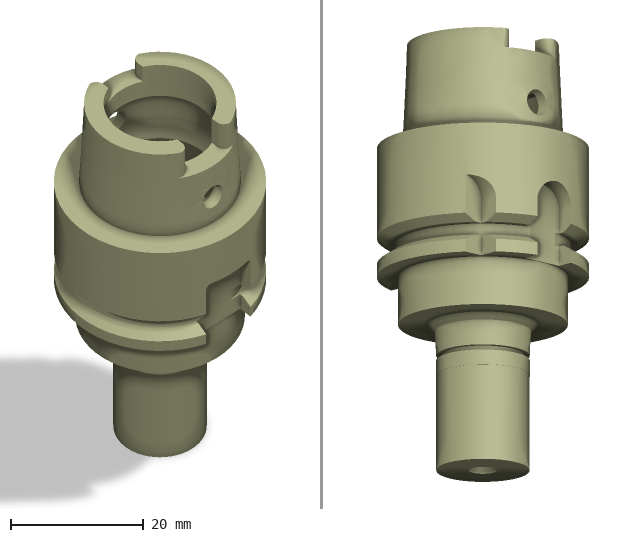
import cadquery as cq
import math


shank_length = 16.0
shank_base_radius = 12.2
shank_tip_radius = 11.45
mouth_radius = 8.5
mouth_depth = 6.3
chamber_radius = 10.25
chamber_wall_bottom_z = 3.4
chamber_bottom_round = 2.5
cavity_floor_z = -8.0
cross_hole_diameter = 4.0
cross_hole_z = 5.0

drive_slot_width = 7.0
drive_slot_round = 1.4
drive_slot_round_start = 8.9
drive_slot_mouth_half_width = 7.0
left_drive_slot_depth = 3.0
right_drive_slot_depth = 5.0

flange_radius = 16.0
flange_length = 20.0
groove_radius = 13.25
groove_flank_radius = 14.4
groove_centre_z = -16.0
groove_half_width = 1.0
groove_flank_height = 1.05

slot_top_z = -8.0
slot_floor = 13.0
round_slot_width = 7.0
square_slot_width = 9.0
square_slot_corner = 1.0
notch_centre_y = 13.0
notch_floor = 9.65

collar_radius = 12.8
collar_bottom_z = -27.4
neck_flare_height = 1.0
neck_top_radius = 7.3
neck_bottom_radius = 7.05
neck_bottom_z = -32.2
ring_groove_width = 0.8
ring_groove_radius = 6.3
nose_radius = 7.1
nose_bottom_z = -35.3

nut_radius = 7.05
nut_bottom_z = -50.0
collet_radius = 4.5
collet_bore_radius = 2.1
collet_top_z = collar_bottom_z


def cylinder(radius, bottom_z, top_z):
    return cq.Workplane("XY").workplane(offset=bottom_z).circle(radius).extrude(top_z - bottom_z)


def holder_blank():
    """Outside of the holder, turned about Z."""
    groove_top = groove_centre_z + groove_half_width
    groove_bottom = groove_centre_z - groove_half_width
    neck_top_z = collar_bottom_z - neck_flare_height
    ring_groove_bottom_z = neck_bottom_z - ring_groove_width
    profile = [
        (0, shank_length),
        (shank_tip_radius, shank_length),
        (shank_base_radius, 0),
        (flange_radius, 0),
        (flange_radius, groove_top + groove_flank_height),
        (groove_flank_radius, groove_top),
        (groove_radius, groove_top),
        (groove_radius, groove_bottom),
        (groove_flank_radius, groove_bottom),
        (flange_radius, groove_bottom - groove_flank_height),
        (flange_radius, -flange_length),
        (collar_radius, -flange_length),
        (collar_radius, collar_bottom_z),
        (neck_top_radius + neck_flare_height, collar_bottom_z),
        (neck_top_radius, neck_top_z),
        (neck_bottom_radius, neck_bottom_z),
        (ring_groove_radius, neck_bottom_z),
        (ring_groove_radius, ring_groove_bottom_z),
        (nose_radius, ring_groove_bottom_z),
        (nose_radius, nose_bottom_z),
        (0, nose_bottom_z),
    ]
    return cq.Workplane("XZ").polyline(profile).close().revolve(360, (0, 0, 0), (0, 1, 0))


def shank_cavity():
    """Open mouth, wider round-bottomed chamber, straight well below it, and the bore for the collet."""
    round_centre_radius = chamber_radius - chamber_bottom_round
    sweep = math.acos((mouth_radius - round_centre_radius) / chamber_bottom_round)
    round_mid = (
        round_centre_radius + chamber_bottom_round * math.cos(sweep / 2),
        chamber_wall_bottom_z - chamber_bottom_round * math.sin(sweep / 2),
    )
    round_end_z = chamber_wall_bottom_z - chamber_bottom_round * math.sin(sweep)
    chamber_top_z = shank_length - mouth_depth
    chamber = (
        cq.Workplane("XZ")
        .moveTo(0, chamber_top_z)
        .lineTo(chamber_radius, chamber_top_z)
        .lineTo(chamber_radius, chamber_wall_bottom_z)
        .threePointArc(round_mid, (mouth_radius, round_end_z))
        .lineTo(0, round_end_z)
        .close()
        .revolve(360, (0, 0, 0), (0, 1, 0))
    )
    well_and_mouth = cylinder(mouth_radius, cavity_floor_z, shank_length)
    collet_bore = cylinder(collet_radius, nose_bottom_z, cavity_floor_z)
    return chamber.union(well_and_mouth).union(collet_bore)


def cross_hole():
    return (
        cq.Workplane("YZ")
        .center(0, cross_hole_z)
        .circle(cross_hole_diameter / 2)
        .extrude(shank_base_radius, both=True)
    )


def drive_slot(side, depth):
    """Slot through the shank rim; its walls round out to a flat that meets the taper. side is -1 or 1."""
    half_width = drive_slot_width / 2
    mid_offset = drive_slot_round * math.sqrt(0.5)
    round_centre_y = half_width + drive_slot_round
    round_end_x = drive_slot_round_start + drive_slot_round
    round_mid = (drive_slot_round_start + mid_offset, round_centre_y - mid_offset)
    slot = (
        cq.Workplane("XY")
        .workplane(offset=shank_length - depth)
        .moveTo(0, -half_width)
        .lineTo(drive_slot_round_start, -half_width)
        .threePointArc((round_mid[0], -round_mid[1]), (round_end_x, -round_centre_y))
        .lineTo(round_end_x, -drive_slot_mouth_half_width)
        .lineTo(shank_base_radius, -drive_slot_mouth_half_width)
        .lineTo(shank_base_radius, drive_slot_mouth_half_width)
        .lineTo(round_end_x, drive_slot_mouth_half_width)
        .lineTo(round_end_x, round_centre_y)
        .threePointArc(round_mid, (drive_slot_round_start, half_width))
        .lineTo(0, half_width)
        .close()
        .extrude(depth)
    )
    return slot if side > 0 else slot.mirror("YZ")


def flange_slot(side, centre_y, width, corner_radius, floor):
    """Key slot from the flange underside up to slot_top_z, with its flat floor at X = side * floor."""
    half_width = width / 2
    slot = (
        cq.Workplane("YZ")
        .workplane(offset=floor)
        .center(centre_y, 0)
        .moveTo(-half_width, -flange_length)
        .lineTo(half_width, -flange_length)
        .lineTo(half_width, slot_top_z - corner_radius)
        .radiusArc((half_width - corner_radius, slot_top_z), -corner_radius)
    )
    if corner_radius < half_width:
        slot = slot.lineTo(corner_radius - half_width, slot_top_z)
    slot = (
        slot.radiusArc((-half_width, slot_top_z - corner_radius), -corner_radius)
        .close()
        .extrude(flange_radius - floor)
    )
    return slot if side > 0 else slot.mirror("YZ")


def make_holder():
    holder = holder_blank().cut(shank_cavity()).cut(cross_hole())
    holder = holder.cut(drive_slot(-1, left_drive_slot_depth))
    holder = holder.cut(drive_slot(1, right_drive_slot_depth))
    round_end = round_slot_width / 2
    holder = holder.cut(flange_slot(-1, 0, round_slot_width, round_end, slot_floor))
    holder = holder.cut(flange_slot(-1, notch_centre_y, round_slot_width, round_end, notch_floor))
    holder = holder.cut(flange_slot(1, 0, square_slot_width, square_slot_corner, slot_floor))
    return holder


def make_nut():
    return cylinder(nut_radius, nut_bottom_z, nose_bottom_z).cut(
        cylinder(collet_radius, nut_bottom_z, nose_bottom_z)
    )


def make_collet():
    return cylinder(collet_radius, nut_bottom_z, collet_top_z).cut(
        cylinder(collet_bore_radius, nut_bottom_z, collet_top_z)
    )


holder = make_holder()
nut = make_nut()
collet = make_collet()

result = cq.Compound.makeCompound([holder.val(), nut.val(), collet.val()])